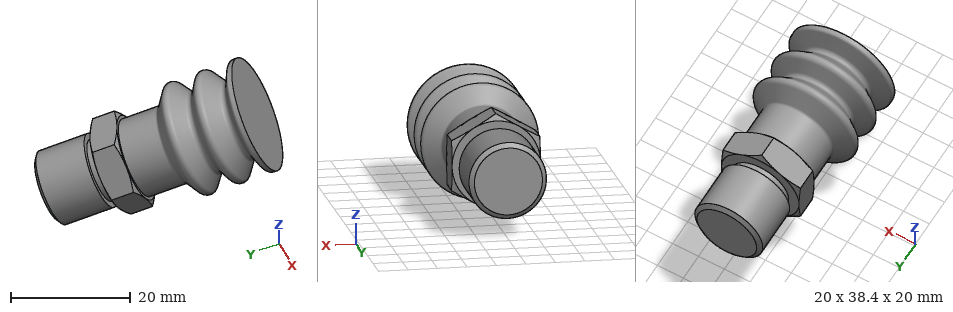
import cadquery as cq
import math

total_length = 38.35
axis_direction = (0, 1, 0)

thread_radius = 13.15 / 2
thread_length = 9.5
thread_chamfer_length = 0.6
thread_chamfer_depth = 0.8
neck_radius = 11.0 / 2
neck_length = 1.5

hex_across_flats = 15.0
hex_length = 5.0
hex_end_radius = hex_across_flats / 2
hex_corner_drop = 0.5

body_radius = 6.9
cup_radius = 20.0 / 2
shoulder_y = 15.5
shoulder_round = 0.58
upper_crest_y = 12.35
lower_crest_y = 6.4
crest_round = 1.0
upper_valley_y = 9.2
upper_valley_radius = 7.2
lower_valley_y = 3.05
valley_round = 0.75
lip_y = 0.65
lip_round = 0.55

thread_start = total_length - thread_length
hex_top = thread_start - neck_length
hex_bottom = hex_top - hex_length


def tangent_ends(crest, valley, crest_size, valley_size):
    """Ends of the line that crosses between a crest round and a valley round, tangent to both.

    Centers are (radius, y); the line leaves the crest on its outer side.
    """
    offset_r = valley[0] - crest[0]
    offset_y = valley[1] - crest[1]
    distance = math.hypot(offset_r, offset_y)
    opening = math.acos((crest_size + valley_size) / distance)
    toward_valley = math.atan2(offset_y, offset_r)
    normal_angle = toward_valley - math.copysign(opening, offset_y)
    normal = (math.cos(normal_angle), math.sin(normal_angle))
    crest_end = (crest[0] + crest_size * normal[0], crest[1] + crest_size * normal[1])
    valley_end = (valley[0] - valley_size * normal[0], valley[1] - valley_size * normal[1])
    return crest_end, valley_end


def make_cup():
    """Revolve the cup: lip, two folds and the cylindrical body up to the nut."""
    rounds = [
        (cup_radius, lip_y, lip_round),
        (body_radius, lower_valley_y, valley_round),
        (cup_radius, lower_crest_y, crest_round),
        (upper_valley_radius, upper_valley_y, valley_round),
        (cup_radius, upper_crest_y, crest_round),
        (body_radius, shoulder_y, shoulder_round),
    ]
    outline = cq.Workplane("XY").lineTo(cup_radius, 0).lineTo(cup_radius, lip_y)
    for index in range(len(rounds) - 1):
        near_radius, near_y, near_size = rounds[index]
        far_radius, far_y, far_size = rounds[index + 1]
        near_is_crest = index % 2 == 0
        if near_is_crest:
            near_center = (near_radius - near_size, near_y)
            far_center = (far_radius + far_size, far_y)
            near_end, far_end = tangent_ends(near_center, far_center, near_size, far_size)
        else:
            near_center = (near_radius + near_size, near_y)
            far_center = (far_radius - far_size, far_y)
            far_end, near_end = tangent_ends(far_center, near_center, far_size, near_size)
        outline = outline.tangentArcPoint(near_end, relative=False)
        outline = outline.lineTo(*far_end)
    outline = outline.tangentArcPoint((body_radius, shoulder_y), relative=False)
    outline = outline.lineTo(body_radius, hex_bottom).lineTo(0, hex_bottom).close()
    return outline.revolve(360, (0, 0, 0), axis_direction)


def make_nut():
    """Hexagon whose corners are trimmed by a cone at both ends."""
    corner_radius = hex_across_flats / math.sqrt(3)
    corners = [
        (corner_radius * math.sin(k * math.pi / 3), corner_radius * math.cos(k * math.pi / 3))
        for k in range(6)
    ]
    prism = cq.Workplane("XZ", origin=(0, hex_bottom, 0)).polyline(corners).close().extrude(-hex_length)
    envelope = (
        cq.Workplane("XY")
        .polyline([
            (0, hex_bottom),
            (hex_end_radius, hex_bottom),
            (corner_radius, hex_bottom + hex_corner_drop),
            (corner_radius, hex_top - hex_corner_drop),
            (hex_end_radius, hex_top),
            (0, hex_top),
        ])
        .close()
        .revolve(360, (0, 0, 0), axis_direction)
    )
    return prism.intersect(envelope)


def make_thread():
    """Undercut neck and plain threaded spigot with a chamfered end."""
    return (
        cq.Workplane("XY")
        .polyline([
            (0, hex_top),
            (neck_radius, hex_top),
            (neck_radius, thread_start),
            (thread_radius, thread_start),
            (thread_radius, total_length - thread_chamfer_length),
            (thread_radius - thread_chamfer_depth, total_length),
            (0, total_length),
        ])
        .close()
        .revolve(360, (0, 0, 0), axis_direction)
    )


result = make_cup().union(make_nut()).union(make_thread())